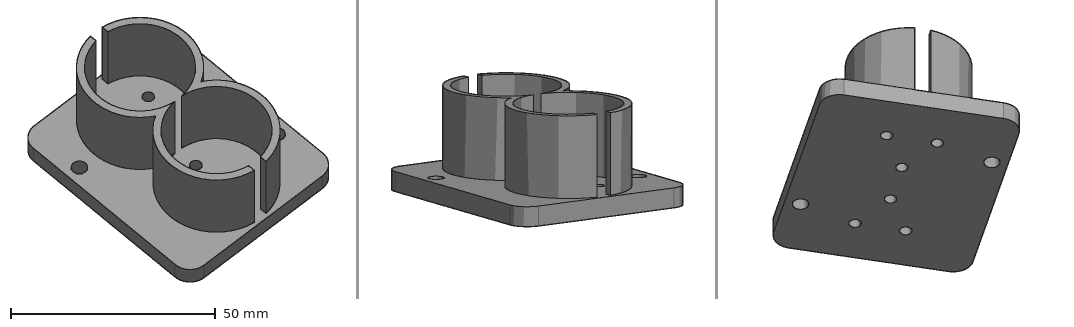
import cadquery as cq

plate_length = 60.0
plate_width = 50.0
plate_thickness = 5.0
plate_corner_radius = 5.0

total_height = 25.6
socket_height = total_height - plate_thickness
socket_bore_radius = 13.55
socket_wall = 2.0
socket_outer_radius = socket_bore_radius + socket_wall
socket_offset = 13.5

slot_width = 4.0

pin_hole_diameter = 3.0
inner_pin_x = 6.2
outer_pin_x = 17.2
outer_pin_y = 6.35

mount_hole_diameter = 4.0
mount_hole_x = 13.0
mount_hole_y = 21.0


def make_plate():
    plate = cq.Workplane("XY").box(
        plate_length, plate_width, plate_thickness, centered=(True, True, False)
    )
    return plate.edges("|Z").fillet(plate_corner_radius)


def socket_cylinders(radius):
    """Two overlapping cylinders on the socket axes, standing on the plate, fused."""
    left, right = [
        cq.Workplane("XY", origin=(side * socket_offset, 0, plate_thickness))
        .circle(radius)
        .extrude(socket_height)
        for side in (-1, 1)
    ]
    return left.union(right)


def make_key_slot(side):
    """Bar from the socket axis outward, opening the outer wall of one socket."""
    slot_center_x = side * (socket_offset + socket_outer_radius / 2)
    return cq.Workplane("XY", origin=(slot_center_x, 0, plate_thickness)).box(
        socket_outer_radius, slot_width, socket_height, centered=(True, True, False)
    )


def make_sockets():
    sockets = socket_cylinders(socket_outer_radius).cut(socket_cylinders(socket_bore_radius))
    for side in (-1, 1):
        sockets = sockets.cut(make_key_slot(side))
    return sockets


def through_holes(diameter, points):
    """Round cutters spanning the plate thickness."""
    return cq.Workplane("XY").pushPoints(points).circle(diameter / 2).extrude(plate_thickness)


pin_points = []
for side in (-1, 1):
    pin_points.append((side * inner_pin_x, 0))
    pin_points.append((side * outer_pin_x, outer_pin_y))
    pin_points.append((side * outer_pin_x, -outer_pin_y))

mount_points = [(mount_hole_x, mount_hole_y), (-mount_hole_x, -mount_hole_y)]

result = (
    make_plate()
    .union(make_sockets())
    .cut(through_holes(pin_hole_diameter, pin_points))
    .cut(through_holes(mount_hole_diameter, mount_points))
)